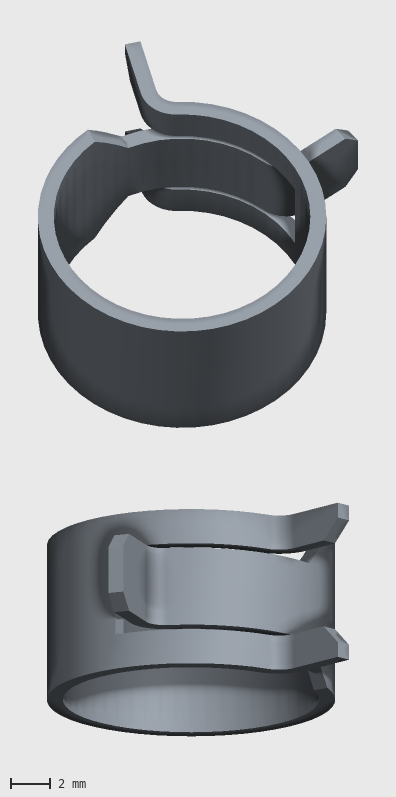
import cadquery as cq
import math

outer_diameter = 14.5
thickness = 0.8
width = 8.0
overall_depth = 17.07
outer_radius = outer_diameter / 2
inner_radius = outer_radius - thickness
tip_y = overall_depth - outer_radius

shoulder_angle = 43.3
tongue_width = 4.0
slot_width = 4.45

bend_angle = 20.8
bend_radius = 1.0
ear_angle = 57.0
tongue_tip_chamfer = 0.8
prong_tip_chamfer = 1.0

right_shoulder = 90 - shoulder_angle
left_shoulder = 90 + shoulder_angle
ear_direction = 180 - ear_angle
seam = 180


def polar(radius, degrees, centre=(0, 0)):
    """Point at a radius and a counter-clockwise angle from the +X direction."""
    angle = math.radians(degrees)
    return (centre[0] + radius * math.cos(angle), centre[1] + radius * math.sin(angle))


bend_polar = 90 + bend_angle
bend_centre = polar(outer_radius + bend_radius, bend_polar)
bend_end = ear_direction + 90
bend_middle = (bend_polar + 180 + bend_end) / 2
convex_radius = bend_radius + thickness
concave_end = polar(bend_radius, bend_end, bend_centre)
convex_end = polar(convex_radius, bend_end, bend_centre)
ear_length = (tip_y - concave_end[1]) / math.sin(math.radians(ear_angle))
tip_corner = polar(ear_length, ear_direction, concave_end)


def make_strip(start):
    """Full-width band from a start angle counter-clockwise to a bend and an ear at the upper left."""
    ring_middle = (start + bend_polar) / 2
    return (
        cq.Workplane("XY")
        .moveTo(*polar(outer_radius, start))
        .threePointArc(polar(outer_radius, ring_middle), polar(outer_radius, bend_polar))
        .threePointArc(polar(bend_radius, bend_middle, bend_centre), concave_end)
        .lineTo(*tip_corner)
        .lineTo(*polar(ear_length, ear_direction, convex_end))
        .lineTo(*convex_end)
        .threePointArc(polar(convex_radius, bend_middle, bend_centre), polar(inner_radius, bend_polar))
        .threePointArc(polar(inner_radius, ring_middle), polar(inner_radius, start))
        .close()
        .extrude(width / 2, both=True)
    )


def make_slot_flare():
    """45 degree cut that takes the corner beside the slot off both prong tips."""
    flare = slot_width / 2 + prong_tip_chamfer
    ear_plane = cq.Plane(
        origin=(*tip_corner, 0),
        xDir=(*polar(1, ear_direction), 0),
        normal=(*polar(1, ear_direction + 90), 0),
    )
    return (
        cq.Workplane(ear_plane)
        .polyline([(0, flare), (-flare, 0), (0, -flare)])
        .close()
        .extrude(thickness)
    )


def make_slotted_part():
    """Band round the -Y side that splits at the right shoulder into two prongs."""
    reach = 2 * overall_depth
    slot = (
        cq.Workplane("XY")
        .polyline([(0, 0), polar(reach, right_shoulder), (-reach, reach), (-reach, 0)])
        .close()
        .extrude(slot_width / 2, both=True)
    )
    return make_strip(seam - 360).cut(slot).cut(make_slot_flare())


def make_tongued_part():
    """Band on the left that tapers at 45 degrees to a tongue, with its ear at the upper right."""
    taper = (width - tongue_width) / 2
    shoulder_plane = cq.Plane(
        origin=(0, 0, 0),
        xDir=(*polar(1, left_shoulder - 90), 0),
        normal=(*polar(1, left_shoulder), 0),
    )
    trim = (
        cq.Workplane(shoulder_plane)
        .polyline([
            (-taper, width / 2),
            (0, tongue_width / 2),
            (overall_depth, tongue_width / 2),
            (overall_depth, width / 2),
        ])
        .close()
        .extrude(overall_depth)
    )
    strip = make_strip(180 - seam).mirror("YZ")
    tongue = strip.cut(trim).cut(trim.mirror("XY"))
    tip_direction = cq.Vector(*polar(1, ear_angle), 0)
    tip_face = tongue.faces(cq.selectors.DirectionMinMaxSelector(tip_direction))
    return tip_face.edges("#Z").chamfer(tongue_tip_chamfer)


result = make_slotted_part().union(make_tongued_part(), clean=False)